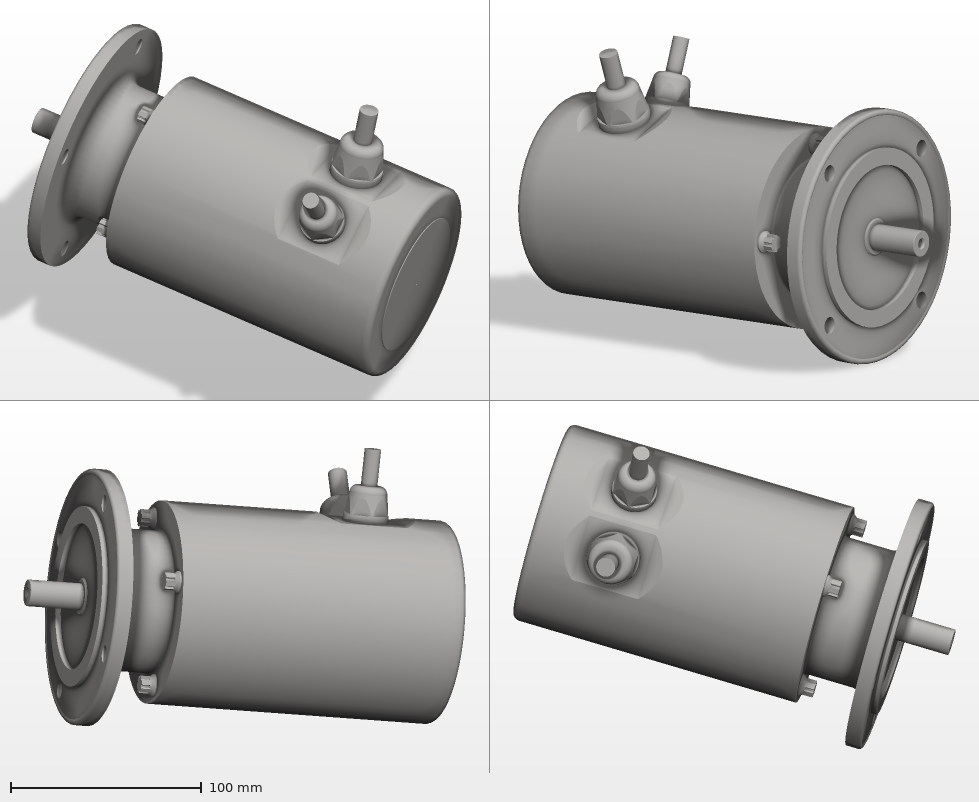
import cadquery as cq
import math


SHAFT_D = 14.0
SHAFT_CHAMFER = 0.25
CENTRE_CONE_D = 6.0
CENTRE_BORE_D = 4.5
CENTRE_BORE_DEPTH = 2.0
CENTRE_HOLE_D = 3.43
CENTRE_HOLE_DEPTH = 8.0
DRILL_POINT_ANGLE = 118.0
SEAL_D = 20.0
SEAL_HEIGHT = 1.0
SEAL_CHAMFER = 0.8

SPIGOT_X = 27.0
FLANGE_FACE_X = 30.0
FLANGE_BACK_X = 38.0
BODY_FRONT_X = 69.5
BODY_BACK_X = 225.0
BACK_DISC_X = 225.5
OVERALL_LENGTH = 226.0

FLANGE_D = 135.0
FLANGE_RIM_RADIUS = 1.8
FLANGE_FACE_D = 129.0
SPIGOT_D = 95.0
RECESS_D = 77.0
RECESS_DEPTH = 3.0
MOUNT_HOLE_D = 9.0
MOUNT_CIRCLE_D = 115.0
MOUNT_HOLE_COUNT = 4
MOUNT_HOLE_START_ANGLE = 45.0

NECK_D = 75.0
NECK_FLANGE_FILLET = 6.0
NECK_BODY_FILLET = 1.2
BODY_D = 107.0
BODY_BACK_FILLET = 3.5
BACK_DISC_D = 75.0
BACK_PIP_D = 0.5

SCREW_COUNT = 4
SCREW_CIRCLE_D = 90.0
SCREW_LOBE_COUNT = 6
SCREW_LOBE_R = 4.4
SCREW_LOBE_WIDTH = 2.6
SCREW_CORE_D = 7.0
SCREW_HEAD_HEIGHT = 8.0
SCREW_WASHER_D = 11.8
SCREW_WASHER_HEIGHT = 1.0
SCREW_CONE_HEIGHT = 2.2
SCREW_CONE_TIP_D = 8.0

GLAND_X = 179.8
GLAND_TILT = 21.0
POCKET_FLOOR_R = 50.5
POCKET_LENGTH = 36.2
POCKET_END_SLOPE = 20.0
POCKET_CUT_HEIGHT = 10.0

GLAND_DOME_FILLET = 4.0
GLAND_FLAT_LIFT = 1.2
GLAND_FLAT_COUNT = 6
LARGE_GLAND = dict(tilt=-GLAND_TILT, collar_d=28.0, collar_h=3.5, dome_d=23.5, hex_width=24.7,
                   height=21.5, cable_d=10.0, cable_end_r=91.5)
SMALL_GLAND = dict(tilt=GLAND_TILT, collar_d=24.0, collar_h=2.8, dome_d=20.0, hex_width=20.7,
                   height=19.0, cable_d=8.7, cable_end_r=88.9)


def disc(diameter, x_start, x_end):
    """Cylinder on the motor axis between two X stations."""
    return cq.Workplane("YZ", origin=(x_start, 0, 0)).circle(diameter / 2).extrude(x_end - x_start)


def tilted(shape, angle):
    """Turn a shape about the motor axis."""
    return shape.rotate((0, 0, 0), (1, 0, 0), angle)


def make_flange():
    """Plate with a raised rounded rim, a spigot with a recess, and four mounting holes."""
    flange_r = FLANGE_D / 2
    face_r = FLANGE_FACE_D / 2
    crest_to_face = flange_r - FLANGE_RIM_RADIUS - face_r
    rim_tangent_x = FLANGE_FACE_X + math.sqrt(FLANGE_RIM_RADIUS ** 2 - crest_to_face ** 2)
    plate = (
        cq.Workplane("XY")
        .moveTo(FLANGE_BACK_X, 0)
        .lineTo(FLANGE_BACK_X, flange_r)
        .lineTo(rim_tangent_x, flange_r)
        .radiusArc((FLANGE_FACE_X, face_r), -FLANGE_RIM_RADIUS)
        .lineTo(FLANGE_FACE_X, 0)
        .close()
        .revolve(360, (0, 0, 0), (1, 0, 0))
    )
    spigot = disc(SPIGOT_D, SPIGOT_X, FLANGE_BACK_X)
    recess = disc(RECESS_D, SPIGOT_X, SPIGOT_X + RECESS_DEPTH)
    holes = (
        cq.Workplane("YZ", origin=(SPIGOT_X, 0, 0))
        .polarArray(MOUNT_CIRCLE_D / 2, MOUNT_HOLE_START_ANGLE, 360, MOUNT_HOLE_COUNT)
        .circle(MOUNT_HOLE_D / 2)
        .extrude(FLANGE_BACK_X - SPIGOT_X)
    )
    return plate.union(spigot).cut(recess).cut(holes)


def make_neck():
    """Neck that flares with a fillet into the flange and into the body."""
    neck_r = NECK_D / 2
    flange_r = neck_r + NECK_FLANGE_FILLET
    body_r = neck_r + NECK_BODY_FILLET
    flare_end_x = FLANGE_BACK_X + NECK_FLANGE_FILLET
    flare_start_x = BODY_FRONT_X - NECK_BODY_FILLET
    return (
        cq.Workplane("XY")
        .moveTo(FLANGE_BACK_X, 0)
        .lineTo(FLANGE_BACK_X, flange_r)
        .radiusArc((flare_end_x, neck_r), -NECK_FLANGE_FILLET)
        .lineTo(flare_start_x, neck_r)
        .radiusArc((BODY_FRONT_X, body_r), -NECK_BODY_FILLET)
        .lineTo(BODY_FRONT_X, 0)
        .close()
        .revolve(360, (0, 0, 0), (1, 0, 0))
    )


def make_pocket(angle):
    """Cutter with a flat floor and two sloping end walls."""
    run = POCKET_CUT_HEIGHT / math.tan(math.radians(POCKET_END_SLOPE))
    half = POCKET_LENGTH / 2
    top = POCKET_FLOOR_R + POCKET_CUT_HEIGHT
    cutter = (
        cq.Workplane("XZ")
        .polyline([
            (GLAND_X - half, POCKET_FLOOR_R),
            (GLAND_X + half, POCKET_FLOOR_R),
            (GLAND_X + half + run, top),
            (GLAND_X - half - run, top),
        ])
        .close()
        .extrude(BODY_D / 2, both=True)
    )
    return tilted(cutter, angle)


def make_body():
    barrel = disc(BODY_D, BODY_FRONT_X, BODY_BACK_X).faces(">X").edges().fillet(BODY_BACK_FILLET)
    for gland in (LARGE_GLAND, SMALL_GLAND):
        barrel = barrel.cut(make_pocket(gland["tilt"]))
    back_disc = disc(BACK_DISC_D, BODY_BACK_X, BACK_DISC_X)
    pip = disc(BACK_PIP_D, BACK_DISC_X, OVERALL_LENGTH)
    return barrel.union(back_disc).union(pip)


def make_shaft():
    recess_floor_x = SPIGOT_X + RECESS_DEPTH
    shaft = disc(SHAFT_D, 0, recess_floor_x).faces("<X").chamfer(SHAFT_CHAMFER)
    seal = disc(SEAL_D, recess_floor_x - SEAL_HEIGHT, recess_floor_x).faces("<X").chamfer(SEAL_CHAMFER)
    return shaft.union(seal)


def make_centre_hole():
    """Countersunk, stepped blind hole with a drill point, on the motor axis."""
    cone_depth = (CENTRE_CONE_D - CENTRE_BORE_D) / 2
    point_depth = CENTRE_HOLE_D / 2 / math.tan(math.radians(DRILL_POINT_ANGLE / 2))
    return (
        cq.Workplane("XY")
        .moveTo(0, 0)
        .lineTo(0, CENTRE_CONE_D / 2)
        .lineTo(cone_depth, CENTRE_BORE_D / 2)
        .lineTo(CENTRE_BORE_DEPTH, CENTRE_BORE_D / 2)
        .lineTo(CENTRE_BORE_DEPTH, CENTRE_HOLE_D / 2)
        .lineTo(CENTRE_HOLE_DEPTH, CENTRE_HOLE_D / 2)
        .lineTo(CENTRE_HOLE_DEPTH + point_depth, 0)
        .close()
        .revolve(360, (0, 0, 0), (1, 0, 0))
    )


def make_screw(angle):
    """Six-lobed head on a conical washer face, standing on the front of the body."""
    head_x = BODY_FRONT_X - SCREW_HEAD_HEIGHT
    washer_x = BODY_FRONT_X - SCREW_WASHER_HEIGHT
    washer = disc(SCREW_WASHER_D, washer_x, BODY_FRONT_X)
    cone = cq.Workplane(cq.Solid.makeCone(
        SCREW_WASHER_D / 2, SCREW_CONE_TIP_D / 2, SCREW_CONE_HEIGHT,
        cq.Vector(washer_x, 0, 0), cq.Vector(-1, 0, 0)
    ))
    screw = washer.union(cone).union(disc(SCREW_CORE_D, head_x, BODY_FRONT_X))
    for index in range(SCREW_LOBE_COUNT // 2):
        lobe_pair = (
            cq.Workplane("YZ", origin=(head_x, 0, 0))
            .rect(2 * SCREW_LOBE_R, SCREW_LOBE_WIDTH)
            .extrude(washer_x - head_x)
        )
        screw = screw.union(tilted(lobe_pair, index * 360 / SCREW_LOBE_COUNT))
    return tilted(screw.translate((0, 0, SCREW_CIRCLE_D / 2)), angle)


def make_motor():
    motor = make_flange().union(make_neck()).union(make_body()).union(make_shaft())
    motor = motor.cut(make_centre_hole())
    for index in range(SCREW_COUNT):
        motor = motor.union(make_screw(index * 360 / SCREW_COUNT))
    return motor


def make_gland(tilt, collar_d, collar_h, dome_d, hex_width, height, cable_d, cable_end_r):
    """Round collar, tapered nut with six flats, rounded dome and a cable stub."""
    dome_r = dome_d / 2
    collar_r = collar_d / 2
    profile = (
        cq.Workplane("XZ")
        .moveTo(0, 0)
        .lineTo(collar_r, 0)
        .lineTo(collar_r, collar_h)
        .lineTo(dome_r, height - GLAND_DOME_FILLET)
        .radiusArc((dome_r - GLAND_DOME_FILLET, height), -GLAND_DOME_FILLET)
        .lineTo(0, height)
        .close()
    )
    gland = profile.revolve(360, (0, 0, 0), (0, 1, 0))
    flats_z = collar_h + GLAND_FLAT_LIFT
    flats = (
        cq.Workplane("XY", origin=(0, 0, flats_z))
        .circle(collar_d)
        .polygon(GLAND_FLAT_COUNT, hex_width / math.cos(math.pi / GLAND_FLAT_COUNT))
        .extrude(height - flats_z)
    )
    flats = flats.rotate((0, 0, 0), (0, 0, 1), 180 / GLAND_FLAT_COUNT)
    cable = cq.Workplane("XY").circle(cable_d / 2).extrude(cable_end_r - POCKET_FLOOR_R)
    gland = gland.cut(flats).union(cable).translate((GLAND_X, 0, POCKET_FLOOR_R))
    return tilted(gland, tilt)


motor = make_motor()
glands = [make_gland(**sizes) for sizes in (LARGE_GLAND, SMALL_GLAND)]

result = cq.Compound.makeCompound([motor.val(), *[gland.val() for gland in glands]])